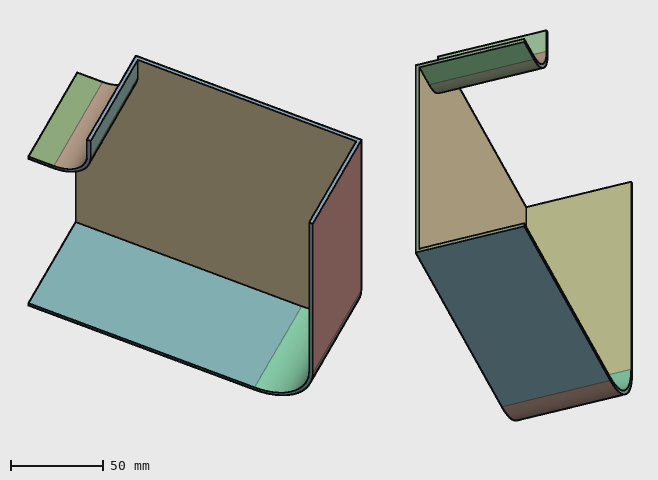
import math

import cadquery as cq

side = 169.9
depth = 62.7
wall = 2.2

outer_bend_radius = 35.0
notch = 35.0
notch_bend_radius = 20.0

ARC_MIDPOINT = math.sqrt(0.5)


def elbow(inset, length):
    """Elbow prism from Y = 0 along +Y, with both bent sides moved inwards by inset."""
    right = side - inset
    bottom = inset
    outer_radius = outer_bend_radius - inset
    outer_centre_x = right - outer_radius
    outer_centre_z = bottom + outer_radius
    outer_middle = outer_radius * ARC_MIDPOINT

    notch_x = notch + inset
    notch_z = side - notch - inset
    inner_radius = notch_bend_radius + inset
    inner_centre_x = notch_x - inner_radius
    inner_centre_z = notch_z + inner_radius
    inner_middle = inner_radius * ARC_MIDPOINT

    outline = (
        cq.Workplane("XZ")
        .moveTo(0, bottom)
        .lineTo(outer_centre_x, bottom)
        .threePointArc(
            (outer_centre_x + outer_middle, outer_centre_z - outer_middle),
            (right, outer_centre_z),
        )
        .lineTo(right, side)
        .lineTo(notch_x, side)
        .lineTo(notch_x, inner_centre_z)
        .threePointArc(
            (inner_centre_x + inner_middle, inner_centre_z - inner_middle),
            (inner_centre_x, notch_z),
        )
        .lineTo(0, notch_z)
        .close()
    )
    return outline.extrude(-length)


body = elbow(0, depth)
channel = elbow(wall, depth - wall)
result = body.cut(channel)